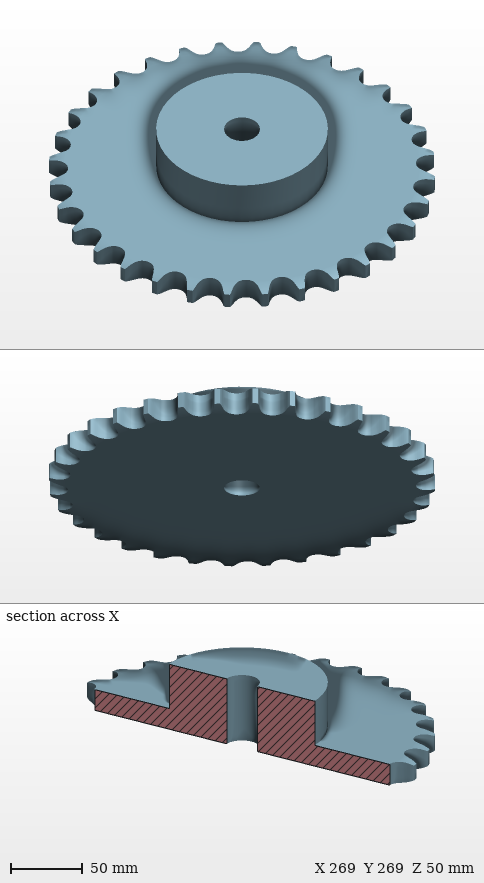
import cadquery as cq
import math

TOOTH_COUNT = 32
CHAIN_PITCH = 25.4
ROLLER_DIAMETER = 15.88
TIP_DIAMETER = 270.0
PLATE_THICKNESS = 16.2
TOTAL_HEIGHT = 50.0
HUB_DIAMETER = 120.0
BORE_DIAMETER = 25.0
RELIEF_START_RADIUS = 124.1
RELIEF_ARC_RADIUS = CHAIN_PITCH

CUT_MARGIN = 1.0

tip_radius = TIP_DIAMETER / 2
pitch_angle = 360.0 / TOOTH_COUNT
pitch_radius = CHAIN_PITCH / 2 / math.sin(math.radians(pitch_angle / 2))

INCH = 25.4
seat_radius = (1.005 * ROLLER_DIAMETER + 0.003 * INCH) / 2
working_radius = 1.3025 * ROLLER_DIAMETER + 0.0015 * INCH
seat_angle = math.radians(35 + 60 / TOOTH_COUNT)
flank_angle = seat_angle - math.radians(18 - 56 / TOOTH_COUNT)
working_centre_distance = 0.8 * ROLLER_DIAMETER
topping_centre_distance = 1.4 * ROLLER_DIAMETER


def sprocket_blank():
    """Turned disc whose rim is rounded on both faces by arcs tangent to the flat faces."""
    rim_width = tip_radius - RELIEF_START_RADIUS

    def relief_depth(distance):
        return RELIEF_ARC_RADIUS - math.sqrt(RELIEF_ARC_RADIUS**2 - distance**2)

    mid_radius = RELIEF_START_RADIUS + rim_width / 2
    mid_depth = relief_depth(rim_width / 2)
    tip_depth = relief_depth(rim_width)
    half_section = (
        cq.Workplane("XZ")
        .lineTo(RELIEF_START_RADIUS, 0)
        .threePointArc((mid_radius, mid_depth), (tip_radius, tip_depth))
        .lineTo(tip_radius, PLATE_THICKNESS - tip_depth)
        .threePointArc(
            (mid_radius, PLATE_THICKNESS - mid_depth),
            (RELIEF_START_RADIUS, PLATE_THICKNESS),
        )
        .lineTo(0, PLATE_THICKNESS)
        .close()
    )
    return half_section.revolve(360, (0, 0, 0), (0, 1, 0))


def arc_point(centre, radius, angle):
    """Point on a circle, with the angle measured from +Y towards -X."""
    return (centre[0] - radius * math.sin(angle), centre[1] + radius * math.cos(angle))


def mirrored(point):
    """Point reflected across the centre line of the gap."""
    return (point[0], -point[1])


def tooth_gap():
    """Cutter for the gap centred on +X, drawn as its +Y side and the mirror image of it."""
    roller_centre = (pitch_radius, 0)
    root = (pitch_radius - seat_radius, 0)
    seat_mid = arc_point(roller_centre, seat_radius, (seat_angle + math.pi / 2) / 2)
    seat_end = arc_point(roller_centre, seat_radius, seat_angle)

    working_centre = arc_point(roller_centre, -working_centre_distance, seat_angle)
    working_mid = arc_point(working_centre, working_radius, (seat_angle + flank_angle) / 2)
    working_end = arc_point(working_centre, working_radius, flank_angle)

    topping_centre = arc_point(roller_centre, topping_centre_distance, math.radians(pitch_angle / 2))
    topping_radius = (
        (topping_centre[1] - working_end[1]) * math.cos(flank_angle)
        - (topping_centre[0] - working_end[0]) * math.sin(flank_angle)
    )
    flank_end = arc_point(topping_centre, -topping_radius, flank_angle)
    outer_x = tip_radius + CUT_MARGIN
    topping_end_angle = math.asin((outer_x - topping_centre[0]) / topping_radius)
    topping_end = arc_point(topping_centre, -topping_radius, topping_end_angle)
    topping_mid = arc_point(topping_centre, -topping_radius, (flank_angle + topping_end_angle) / 2)

    return (
        cq.Workplane("XY")
        .workplane(offset=-CUT_MARGIN)
        .moveTo(*root)
        .threePointArc(seat_mid, seat_end)
        .threePointArc(working_mid, working_end)
        .lineTo(*flank_end)
        .threePointArc(topping_mid, topping_end)
        .lineTo(*mirrored(topping_end))
        .threePointArc(mirrored(topping_mid), mirrored(flank_end))
        .lineTo(*mirrored(working_end))
        .threePointArc(mirrored(working_mid), mirrored(seat_end))
        .threePointArc(mirrored(seat_mid), root)
        .close()
        .extrude(PLATE_THICKNESS + 2 * CUT_MARGIN)
    )


def toothed_plate():
    """Disc with the gaps cut evenly around the rim, one of them centred on +X."""
    plate = sprocket_blank()
    gap = tooth_gap()
    for index in range(TOOTH_COUNT):
        plate = plate.cut(gap.rotate((0, 0, 0), (0, 0, 1), index * pitch_angle))
    return plate


def add_hub(plate):
    """Plain cylindrical hub standing on the upper face."""
    hub = cq.Workplane("XY").circle(HUB_DIAMETER / 2).extrude(TOTAL_HEIGHT)
    return plate.union(hub)


def cut_bore(body):
    """Through bore along the axis."""
    bore = cq.Workplane("XY").circle(BORE_DIAMETER / 2).extrude(TOTAL_HEIGHT)
    return body.cut(bore)


result = cut_bore(add_hub(toothed_plate()))